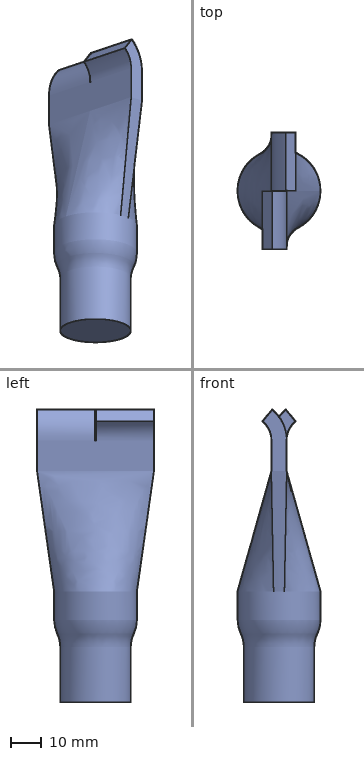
import cadquery as cq
import math

shank_radius = 11.5
shank_height = 18.0
collar_radius = 13.5
collar_top = 36.0
shoulder_arc_radius = 10.0

blade_width = 38.0
blade_thickness = 5.0
blade_bottom = 75.0

bend_start = 85.0
total_height = 95.0
bend_inner_radius = 8.0
prong_gap = 0.2

shoulder_angle = math.acos(1 - (collar_radius - shank_radius) / (2 * shoulder_arc_radius))
shoulder_half_height = shoulder_arc_radius * math.sin(shoulder_angle)
shoulder_middle = shank_height + shoulder_half_height
shoulder_top = shoulder_middle + shoulder_half_height
shoulder_middle_radius = (shank_radius + collar_radius) / 2

half_thickness = blade_thickness / 2
bend_outer_radius = bend_inner_radius + blade_thickness
bend_centre_x = half_thickness - bend_outer_radius
bend_angle = math.asin((total_height - bend_start) / bend_outer_radius)


def make_shank():
    """Shank, S-shaped shoulder and collar as one turned body."""
    return (
        cq.Workplane("XZ")
        .lineTo(shank_radius, 0)
        .lineTo(shank_radius, shank_height)
        .tangentArcPoint((shoulder_middle_radius, shoulder_middle), relative=False)
        .tangentArcPoint((collar_radius, shoulder_top), relative=False)
        .lineTo(collar_radius, collar_top)
        .lineTo(0, collar_top)
        .close()
        .revolve(360, (0, 0), (0, 1))
    )


def make_neck():
    """Straight-ruled change from the round collar to the rectangular blade."""
    return (
        cq.Workplane("XY", origin=(0, 0, collar_top))
        .circle(collar_radius)
        .workplane(offset=blade_bottom - collar_top)
        .rect(blade_thickness, blade_width)
        .loft(ruled=True)
    )


def make_blade():
    """Straight slab between the neck and the prongs."""
    return (
        cq.Workplane("XY", origin=(0, 0, blade_bottom))
        .rect(blade_thickness, blade_width)
        .extrude(bend_start - blade_bottom)
    )


def bend_point(radius, angle):
    """Point on the bend at the given radius and angle from the bend's start."""
    return (bend_centre_x + radius * math.cos(angle), bend_start + radius * math.sin(angle))


def make_prong():
    """Prong on the -Y half of the blade, curling towards -X."""
    return (
        cq.Workplane("XZ", origin=(0, -prong_gap / 2, 0))
        .moveTo(*bend_point(bend_outer_radius, 0))
        .threePointArc(
            bend_point(bend_outer_radius, bend_angle / 2),
            bend_point(bend_outer_radius, bend_angle),
        )
        .lineTo(*bend_point(bend_inner_radius, bend_angle))
        .threePointArc(
            bend_point(bend_inner_radius, bend_angle / 2),
            bend_point(bend_inner_radius, 0),
        )
        .close()
        .extrude((blade_width - prong_gap) / 2)
    )


result = make_shank().union(make_neck()).union(make_blade())
for turn in (0, 180):
    result = result.union(make_prong().rotate((0, 0, 0), (0, 0, 1), turn))